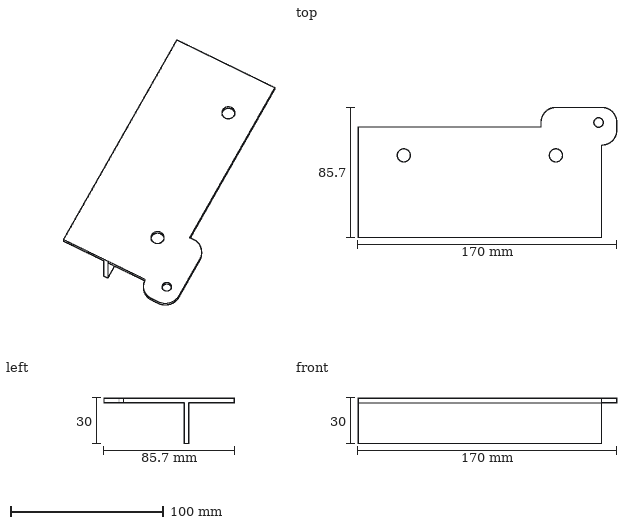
import cadquery as cq

plate_length = 160.0
plate_depth = 72.8
thickness = 3.0

overall_length = 170.0
overall_depth = 85.7
tab_length = 50.0
tab_depth = 25.0
tab_radius = overall_length - plate_length

overall_height = 30.0
rib_height = overall_height - thickness
rib_front = 30.0

mount_hole_diameter = 8.5
mount_hole_y = 54.0
mount_hole_xs = (30.0, 129.9)
tab_hole_diameter = 6.1
tab_hole_x = 158.0
tab_hole_y = overall_depth - tab_radius


def block(x, y, z, length, depth, height):
    """Box placed by its front left bottom corner."""
    return cq.Workplane("XY").box(length, depth, height, centered=False).translate((x, y, z))


def drill(body, points, diameter):
    """Cut vertical through holes in the plate at the given points."""
    cutters = cq.Workplane("XY").pushPoints(points).circle(diameter / 2).extrude(thickness)
    return body.cut(cutters)


plate = block(0, 0, 0, plate_length, plate_depth, thickness)

tab = block(
    overall_length - tab_length, overall_depth - tab_depth, 0,
    tab_length, tab_depth, thickness,
).edges("|Z").edges(">X or >Y").fillet(tab_radius)

rib = block(0, rib_front, -rib_height, plate_length, thickness, rib_height)

result = plate.union(tab).union(rib)
result = drill(result, [(x, mount_hole_y) for x in mount_hole_xs], mount_hole_diameter)
result = drill(result, [(tab_hole_x, tab_hole_y)], tab_hole_diameter)